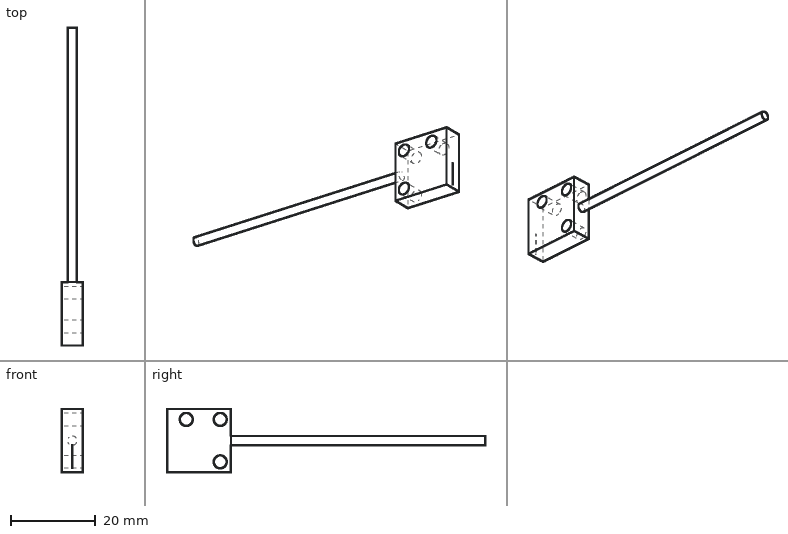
import cadquery as cq

body_thickness = 5.0
body_side = 15.0
body_front = -body_side / 2
body_back = body_side / 2
body_bottom = -body_side / 2

total_length = 75.0
cable_diameter = 2.2
cable_length = total_length - body_side

hole_diameter = 3.0
hole_edge_distance = 2.5
hole_spacing_y = 8.0
hole_spacing_z = body_side - 2 * hole_edge_distance

slit_width = 0.2
slit_height = 5.5
slit_depth = 0.1
slit_bottom_margin = 1.0


def make_body():
    return cq.Workplane("XY").box(body_thickness, body_side, body_side)


def make_cable():
    """Round cable running along +Y from the centre of the back face."""
    back_plane = cq.Plane(origin=(0, body_back, 0), xDir=(1, 0, 0), normal=(0, 1, 0))
    return cq.Workplane(back_plane).circle(cable_diameter / 2).extrude(cable_length)


def make_mounting_holes():
    """Two holes along the top edge and one below the rear one."""
    rear_y = body_back - hole_edge_distance
    lower_z = body_bottom + hole_edge_distance
    upper_z = lower_z + hole_spacing_z
    centres = [
        (rear_y, upper_z),
        (rear_y - hole_spacing_y, upper_z),
        (rear_y, lower_z),
    ]
    return (
        cq.Workplane("YZ")
        .pushPoints(centres)
        .circle(hole_diameter / 2)
        .extrude(body_thickness / 2, both=True)
    )


def make_slit():
    """Shallow vertical slit, open at the front face."""
    slit_center_y = body_front + slit_depth / 2
    slit_center_z = body_bottom + slit_bottom_margin + slit_height / 2
    slit = cq.Workplane("XY").box(slit_width, slit_depth, slit_height)
    return slit.translate((0, slit_center_y, slit_center_z))


result = make_body().union(make_cable()).cut(make_mounting_holes()).cut(make_slit())